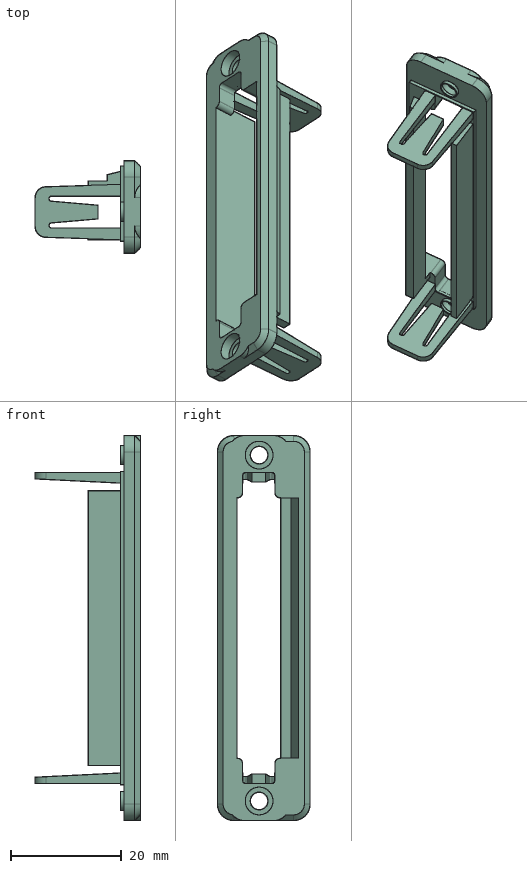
import cadquery as cq

PLATE_LENGTH = 69.4
PLATE_WIDTH = 16.7
PLATE_THICKNESS = 3.0
OVERALL_DEPTH = 19.0
PLATE_CORNER_RADIUS = 3.0
FRONT_CHAMFER = 1.05

PAD_HEIGHT = 0.6
PAD_TOP_Y = 7.4
PAD_BOTTOM_Y = -6.2
PAD_HALF_LENGTH = 28.25
PAD_FACE_X = -PAD_HEIGHT

SCREW_Y = -0.8
HOOK_Y = -0.9

BAND_WIDTH = 11.1

HOLE_Z = 31.15
HOLE_DIAMETER = 3.1
COLLAR_DIAMETER = 3.5
COUNTERBORE_DIAMETER = 5.0
COUNTERBORE_DEPTH = 1.9

SLOT_HALF_WIDTH = 2.9
SLOT_HALF_LENGTH = 28.0
SLOT_CORNER_RADIUS = 0.7

HOOK_TIP_X = PLATE_THICKNESS - OVERALL_DEPTH
HOOK_OUTER_Z = SLOT_HALF_LENGTH
HOOK_TIP_THICKNESS = 1.2
HOOK_ROOT_THICKNESS = 1.95
HOOK_TIP_HALF_WIDTH = 4.5
HOOK_ROOT_HALF_WIDTH = 5.0
HOOK_CORNER_RADIUS = 2.0
HOOK_WEB = 2.6
PRONG_GAP_HALF_WIDTH = 2.85
TONGUE_CLEARANCE = 4.0
TONGUE_END_X = PAD_FACE_X - TONGUE_CLEARANCE
TONGUE_END_HALF_WIDTH = 1.25
TONGUE_ROOT_HALF_WIDTH = 2.0
NOTCH_END_RADIUS = 0.35

RAIL_HALF_LENGTH = 24.8
RAIL_HEIGHT = 5.8
RAIL_TIP_X = PAD_FACE_X - RAIL_HEIGHT
UPPER_RAIL_INNER_Y = 3.05
UPPER_RAIL_OUTER_Y = 4.7
LOWER_RAIL_INNER_Y = -4.8
LOWER_RAIL_OUTER_Y = -6.0

SHOULDER_HEIGHT = 2.4
SHOULDER_X = PAD_FACE_X - SHOULDER_HEIGHT
SHOULDER_TOP_Y = 5.8
SHOULDER_BASE_Y = 6.45

POCKET_HALF_LENGTH = 23.45
LIP_CORNER_RADIUS = 0.9
POCKET_FLOOR_THICKNESS = 0.8
POCKET_FLOOR_X = SHOULDER_X + POCKET_FLOOR_THICKNESS
POCKET_FLOOR_Y = 4.9
POCKET_MOUTH_Y = 6.25


def box(x_min, x_max, y_min, y_max, z_min, z_max):
    """Axis-aligned box between the given limits."""
    size = (x_max - x_min, y_max - y_min, z_max - z_min)
    return cq.Workplane("XY").box(*size, centered=False).translate((x_min, y_min, z_min))


def prism_along_z(points, half_length):
    """Closed XY outline extruded evenly to both sides of Z = 0."""
    return cq.Workplane("XY").polyline(points).close().extrude(half_length, both=True)


def rod(diameter, x_min, x_max, z):
    """Round bar along X, centred on the screw axis at height z."""
    return (
        cq.Workplane("YZ", origin=(x_min, SCREW_Y, z))
        .circle(diameter / 2)
        .extrude(x_max - x_min)
    )


def rounded_slab(width, centre_y):
    """Slab of the plate's length and thickness with its four corners rounded."""
    return box(
        0, PLATE_THICKNESS,
        centre_y - width / 2, centre_y + width / 2,
        -PLATE_LENGTH / 2, PLATE_LENGTH / 2,
    ).edges("|X").fillet(PLATE_CORNER_RADIUS)


def make_plate():
    """Plate with a chamfered front edge, crossed by a narrower unchamfered band."""
    chamfered = rounded_slab(PLATE_WIDTH, 0).faces(">X").edges().chamfer(FRONT_CHAMFER)
    return chamfered.union(rounded_slab(BAND_WIDTH, SCREW_Y))


def make_hook():
    """Upper hook: two prongs joined at the tip by a web that carries a central tongue."""
    root_x = PAD_FACE_X
    side = (
        cq.Workplane("XZ")
        .polyline([
            (HOOK_TIP_X, HOOK_OUTER_Z),
            (root_x, HOOK_OUTER_Z),
            (root_x, HOOK_OUTER_Z - HOOK_ROOT_THICKNESS),
            (HOOK_TIP_X, HOOK_OUTER_Z - HOOK_TIP_THICKNESS),
        ])
        .close()
        .extrude(PLATE_WIDTH, both=True)
    )
    outline = prism_along_z(
        [
            (HOOK_TIP_X, HOOK_Y - HOOK_TIP_HALF_WIDTH),
            (root_x, HOOK_Y - HOOK_ROOT_HALF_WIDTH),
            (root_x, HOOK_Y + HOOK_ROOT_HALF_WIDTH),
            (HOOK_TIP_X, HOOK_Y + HOOK_TIP_HALF_WIDTH),
        ],
        PLATE_LENGTH,
    ).edges("|Z and <X").fillet(HOOK_CORNER_RADIUS)
    notch_x = HOOK_TIP_X + HOOK_WEB
    opening = prism_along_z(
        [
            (root_x, HOOK_Y - PRONG_GAP_HALF_WIDTH),
            (notch_x, HOOK_Y - PRONG_GAP_HALF_WIDTH),
            (notch_x, HOOK_Y - TONGUE_ROOT_HALF_WIDTH),
            (TONGUE_END_X, HOOK_Y - TONGUE_END_HALF_WIDTH),
            (TONGUE_END_X, HOOK_Y + TONGUE_END_HALF_WIDTH),
            (notch_x, HOOK_Y + TONGUE_ROOT_HALF_WIDTH),
            (notch_x, HOOK_Y + PRONG_GAP_HALF_WIDTH),
            (root_x, HOOK_Y + PRONG_GAP_HALF_WIDTH),
        ],
        PLATE_LENGTH,
    ).edges("|Z and <X").fillet(NOTCH_END_RADIUS)
    return side.intersect(outline).cut(opening)


def make_rails():
    """Stepped upper rail with its sloped shoulder, and the plain lower rail."""
    upper = prism_along_z(
        [
            (0, UPPER_RAIL_INNER_Y),
            (RAIL_TIP_X, UPPER_RAIL_INNER_Y),
            (RAIL_TIP_X, UPPER_RAIL_OUTER_Y),
            (SHOULDER_X, UPPER_RAIL_OUTER_Y),
            (SHOULDER_X, SHOULDER_TOP_Y),
            (PAD_FACE_X, SHOULDER_BASE_Y),
            (0, SHOULDER_BASE_Y),
        ],
        RAIL_HALF_LENGTH,
    )
    lower = box(
        RAIL_TIP_X, 0,
        LOWER_RAIL_OUTER_Y, LOWER_RAIL_INNER_Y,
        -RAIL_HALF_LENGTH, RAIL_HALF_LENGTH,
    )
    return upper.union(lower)


def make_pocket():
    """Central pocket whose upper wall follows the slope of the shoulder."""
    return prism_along_z(
        [
            (PLATE_THICKNESS, LOWER_RAIL_INNER_Y),
            (RAIL_TIP_X, LOWER_RAIL_INNER_Y),
            (RAIL_TIP_X, UPPER_RAIL_INNER_Y),
            (POCKET_FLOOR_X, UPPER_RAIL_INNER_Y),
            (POCKET_FLOOR_X, POCKET_FLOOR_Y),
            (PLATE_THICKNESS, POCKET_MOUTH_Y),
        ],
        POCKET_HALF_LENGTH,
    )


def make_opening():
    """Pocket and slot together, with the lip corners between them rounded off."""
    slot = box(
        PAD_FACE_X, PLATE_THICKNESS,
        HOOK_Y - SLOT_HALF_WIDTH, HOOK_Y + SLOT_HALF_WIDTH,
        -SLOT_HALF_LENGTH, SLOT_HALF_LENGTH,
    ).edges("|X").fillet(SLOT_CORNER_RADIUS)
    opening = make_pocket().union(slot)
    for y in (HOOK_Y - SLOT_HALF_WIDTH, HOOK_Y + SLOT_HALF_WIDTH):
        for z in (-POCKET_HALF_LENGTH, POCKET_HALF_LENGTH):
            lip_edge = cq.selectors.NearestToPointSelector((PLATE_THICKNESS / 2, y, z))
            opening = opening.edges("|X").edges(lip_edge).fillet(LIP_CORNER_RADIUS)
    return opening


pad = box(PAD_FACE_X, 0, PAD_BOTTOM_Y, PAD_TOP_Y, -PAD_HALF_LENGTH, PAD_HALF_LENGTH)
upper_hook = make_hook()

result = make_plate().union(pad).union(make_rails())
counterbore_floor = PLATE_THICKNESS - COUNTERBORE_DEPTH
for hole_z in (-HOLE_Z, HOLE_Z):
    result = result.union(rod(COLLAR_DIAMETER, PAD_FACE_X, 0, hole_z))
    result = result.cut(rod(HOLE_DIAMETER, PAD_FACE_X, PLATE_THICKNESS, hole_z))
    result = result.cut(rod(COUNTERBORE_DIAMETER, counterbore_floor, PLATE_THICKNESS, hole_z))
result = result.cut(make_opening())
result = result.union(upper_hook).union(upper_hook.mirror("XY"))